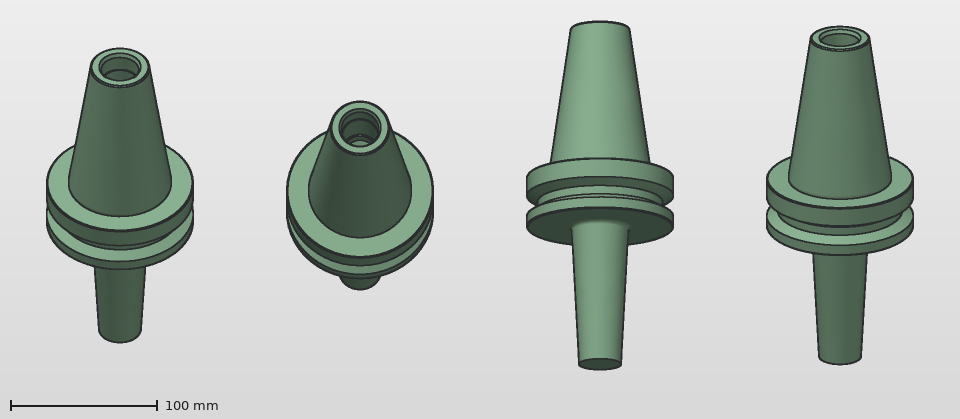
import cadquery as cq
import math

total_length = 236.8
flange_radius = 50.0

nose_tip_radius = 14.5
nose_half_angle = 3.0
nose_root_fillet = 2.8

flange_bottom = 96.5
flange_top = 132.1
flange_edge = 0.7
groove_floor_radius = 42.6
groove_floor_bottom = 108.7
groove_floor_top = 114.5
groove_wall_angle = 30.0

shank_collar_radius = 35.0
shank_taper_bottom = 134.0
shank_slope = 7 / 48
shank_edge_width = 1.0
shank_edge_height = 1.0

bore_mouth_radius = 14.2
bore_mouth_depth = 2.5
counterbore_radius = 12.8
counterbore_depth = 13.5
thread_radius = 12.0
thread_depth = 38.0
pilot_radius = 11.0
pilot_depth = 45.0
drill_tip_half_angle = 59.0


def revolve_about_z(profile):
    return profile.close().revolve(360, (0, 0, 0), (0, 1, 0))


def make_nose():
    root_radius = nose_tip_radius + flange_bottom * math.tan(math.radians(nose_half_angle))
    profile = (
        cq.Workplane("XZ")
        .lineTo(nose_tip_radius, 0)
        .lineTo(root_radius, flange_bottom)
        .lineTo(0, flange_bottom)
    )
    return revolve_about_z(profile)


def make_flange():
    height = flange_top - flange_bottom
    disc = cq.Workplane("XY").workplane(offset=flange_bottom).circle(flange_radius).extrude(height)
    disc = disc.faces("<Z or >Z").edges().chamfer(flange_edge)
    return disc.cut(make_gripper_groove())


def make_gripper_groove():
    wall_height = (flange_radius - groove_floor_radius) * math.tan(math.radians(groove_wall_angle))
    profile = (
        cq.Workplane("XZ")
        .moveTo(groove_floor_radius, groove_floor_bottom)
        .lineTo(flange_radius, groove_floor_bottom - wall_height)
        .lineTo(flange_radius, groove_floor_top + wall_height)
        .lineTo(groove_floor_radius, groove_floor_top)
    )
    return revolve_about_z(profile)


def make_shank():
    edge_bottom = total_length - shank_edge_height
    small_end_radius = shank_collar_radius - (edge_bottom - shank_taper_bottom) * shank_slope
    profile = (
        cq.Workplane("XZ")
        .moveTo(0, flange_top)
        .lineTo(shank_collar_radius, flange_top)
        .lineTo(shank_collar_radius, shank_taper_bottom)
        .lineTo(small_end_radius, edge_bottom)
        .lineTo(small_end_radius - shank_edge_width, total_length)
        .lineTo(0, total_length)
    )
    return revolve_about_z(profile)


def make_drawbar_bore():
    drill_tip_length = pilot_radius / math.tan(math.radians(drill_tip_half_angle))
    profile = (
        cq.Workplane("XZ")
        .moveTo(0, total_length)
        .lineTo(bore_mouth_radius, total_length)
        .lineTo(counterbore_radius, total_length - bore_mouth_depth)
        .lineTo(counterbore_radius, total_length - counterbore_depth)
        .lineTo(thread_radius, total_length - counterbore_depth)
        .lineTo(thread_radius, total_length - thread_depth)
        .lineTo(pilot_radius, total_length - thread_depth)
        .lineTo(pilot_radius, total_length - pilot_depth)
        .lineTo(0, total_length - pilot_depth - drill_tip_length)
    )
    return revolve_about_z(profile)


body = make_nose().union(make_flange())
nose_root = cq.selectors.BoxSelector(
    (-flange_radius / 2, -flange_radius / 2, flange_bottom - flange_edge),
    (flange_radius / 2, flange_radius / 2, flange_bottom + flange_edge),
    boundingbox=True,
)
body = body.edges(nose_root).fillet(nose_root_fillet)

result = body.union(make_shank()).cut(make_drawbar_bore())